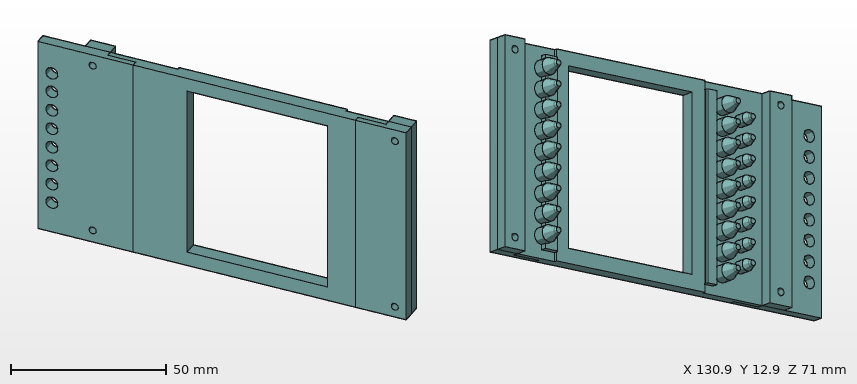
import cadquery as cq

length = 130.9
height = 71.0
plate_depth = 3.9
lap_depth = plate_depth / 2

lap_width = 10.0
left_shoulder_x = 24.0
left_seam_x = left_shoulder_x + lap_width
right_shoulder_x = 122.7
right_seam_x = right_shoulder_x - lap_width

bar_depth = 4.0
left_bar_width = 8.9
right_bar_width = length - right_shoulder_x
left_bar_x = left_shoulder_x - left_bar_width

screw_diameter = 2.5
left_screw_x = left_bar_x + left_bar_width / 2
left_screw_zs = (4.5, 67.0)
right_screw_x = right_shoulder_x + right_bar_width / 2
right_screw_zs = (3.9, 66.9)

peg_hole_diameter = 4.2
peg_hole_x = 5.0
peg_hole_count = 8
peg_row_span = 49.1
peg_pitch = peg_row_span / (peg_hole_count - 1)
peg_row_offset = 0.1
peg_row_center_z = height / 2 + peg_row_offset

window_x = 53.0
window_width = 49.9
window_height = 61.1
window_z = 5.1
middle_x = 47.9
middle_width = 59.8
middle_end_x = middle_x + middle_width
middle_depth = 5.0
rib_height = 65.0
rib_depth = 2.1
rib_chamfer = 0.5
left_rib_width = 4.0
right_rib_width = 5.4

peg_straight = 4.0
peg_tip_length = 0.8
peg_neck_diameter = 2.5
peg_tip_diameter = 1.8
small_peg_diameter = 4.2
small_peg_length = 7.1
small_peg_x = 33.0
large_peg_diameter = 5.8
large_peg_length = 9.0
left_large_peg_x = 40.5
right_large_peg_x = 112.9
large_peg_count = peg_hole_count + 1


def block(x, y, z, width, depth, tall):
    """Box with its lowest corner at (x, y, z)."""
    return cq.Workplane("XY").box(width, depth, tall, centered=False).translate((x, y, z))


def slab(x, y, width, depth):
    """Box over the full height."""
    return block(x, y, 0, width, depth, height)


def row_zs(count):
    """Heights of a row of pegs or holes, centred on the common row centre."""
    first_z = peg_row_center_z - peg_pitch * (count - 1) / 2
    return [first_z + i * peg_pitch for i in range(count)]


def drill(body, diameter, x, zs):
    """Cut holes along Y right through a body."""
    drills = (
        cq.Workplane("XZ")
        .pushPoints([(x, z) for z in zs])
        .circle(diameter / 2)
        .extrude(-(plate_depth + bar_depth))
    )
    return body.cut(drills)


def make_left_plate():
    plate = slab(0, 0, left_shoulder_x, plate_depth)
    plate = plate.union(slab(left_shoulder_x, 0, lap_width, lap_depth))
    plate = drill(plate, peg_hole_diameter, peg_hole_x, row_zs(peg_hole_count))
    return drill(plate, screw_diameter, left_screw_x, left_screw_zs)


def make_right_plate():
    plate = slab(right_shoulder_x, 0, right_bar_width, plate_depth)
    plate = plate.union(slab(right_seam_x, 0, lap_width, lap_depth))
    return drill(plate, screw_diameter, right_screw_x, right_screw_zs)


def make_bar(x, width, screw_x, screw_zs):
    bar = slab(x, plate_depth, width, bar_depth)
    return drill(bar, screw_diameter, screw_x, screw_zs)


def make_peg(diameter, peg_length, x, z):
    """Peg along +Y, rooted at mid-depth in the frame so that it fuses with it."""
    cone_start = plate_depth + peg_straight
    tip_end = plate_depth + peg_length
    return (
        cq.Workplane("XY")
        .moveTo(0, lap_depth)
        .lineTo(diameter / 2, lap_depth)
        .lineTo(diameter / 2, cone_start)
        .lineTo(peg_neck_diameter / 2, tip_end - peg_tip_length)
        .lineTo(peg_tip_diameter / 2, tip_end)
        .lineTo(0, tip_end)
        .close()
        .revolve(360, (0, 0), (0, 1))
        .translate((x, 0, z))
    )


def make_rib(x, width, middle_edge):
    """Upright rib beside the thick middle, with the corner next to the middle chamfered."""
    rib = block(x, plate_depth, (height - rib_height) / 2, width, rib_depth, rib_height)
    return rib.faces(">Y").edges(middle_edge).chamfer(rib_chamfer)


def make_frame():
    frame = slab(left_seam_x, 0, right_seam_x - left_seam_x, plate_depth)
    tongues_width = right_shoulder_x - left_shoulder_x
    frame = frame.union(slab(left_shoulder_x, lap_depth, tongues_width, plate_depth - lap_depth))
    frame = frame.union(slab(middle_x, 0, middle_width, middle_depth))
    frame = frame.cut(block(window_x, 0, window_z, window_width, middle_depth, window_height))
    frame = frame.union(make_rib(middle_x - left_rib_width, left_rib_width, ">X"))
    frame = frame.union(make_rib(middle_end_x, right_rib_width, "<X"))
    for z in row_zs(peg_hole_count):
        frame = frame.union(make_peg(small_peg_diameter, small_peg_length, small_peg_x, z))
    for z in row_zs(large_peg_count):
        for x in (left_large_peg_x, right_large_peg_x):
            frame = frame.union(make_peg(large_peg_diameter, large_peg_length, x, z))
    return frame


left_plate = make_left_plate()
right_plate = make_right_plate()
frame = make_frame()
left_bar = make_bar(left_bar_x, left_bar_width, left_screw_x, left_screw_zs)
right_bar = make_bar(right_shoulder_x, right_bar_width, right_screw_x, right_screw_zs)

result = cq.Compound.makeCompound(
    [left_plate.val(), right_plate.val(), frame.val(), left_bar.val(), right_bar.val()]
)